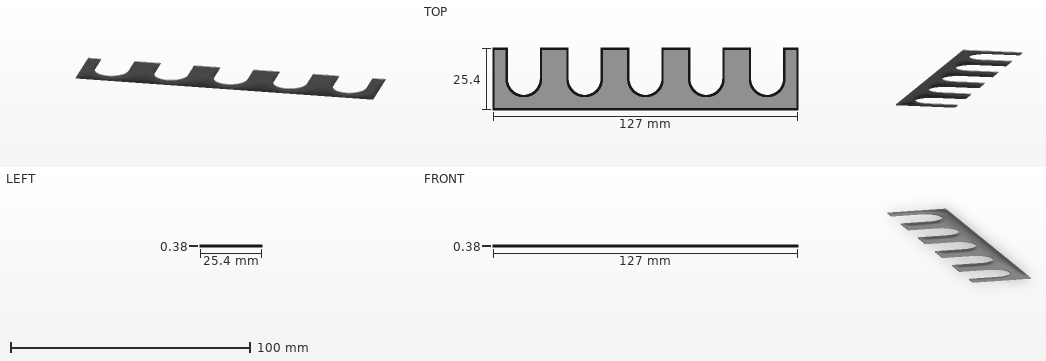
import cadquery as cq

pitch = 25.4
slot_count = 5
slot_width = 14.224
thickness = 0.38

strip_length = slot_count * pitch
strip_width = pitch
slot_radius = slot_width / 2


def make_strip():
    """Flat shim strip centred in X and Y, resting on Z = 0."""
    return cq.Workplane("XY").box(strip_length, strip_width, thickness, centered=(True, True, False))


def make_slot(center_x):
    """U-shaped cutter: round end centred on the strip, open at the +Y edge."""
    open_edge_y = strip_width / 2
    return (
        cq.Workplane("XY")
        .moveTo(center_x - slot_radius, open_edge_y)
        .lineTo(center_x - slot_radius, 0)
        .threePointArc((center_x, -slot_radius), (center_x + slot_radius, 0))
        .lineTo(center_x + slot_radius, open_edge_y)
        .close()
        .extrude(thickness)
    )


result = make_strip()
for index in range(slot_count):
    slot_x = (index - (slot_count - 1) / 2) * pitch
    result = result.cut(make_slot(slot_x))